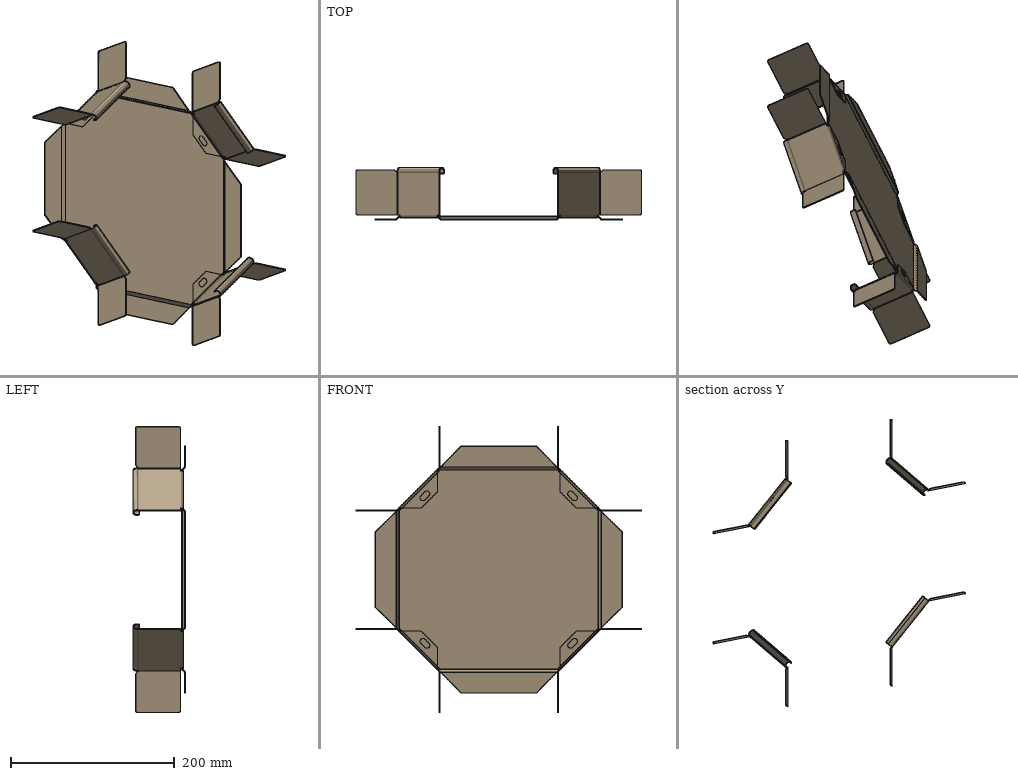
import cadquery as cq
import math


sheet = 1.2
overall = 349.5
height = 64.3

joggle_rise = 3.5
floor_half = 121.5
joggle_run = 3.5
flange_reach = 151.0
flange_root_half = 74.8
flange_end_half = 46.0
corner_cut = 136.5

wall_distance = 139.5
tab_outer = 73.0
tab_bottom = 6.0
tab_top = 61.0
tab_round = 2.5
tab_relief = 3.5
foot_top = joggle_rise
foot_bottom = foot_top - sheet
foot_side = 75.0
foot_inner = 120.2
bend_outer = 2.27
bend_inner = bend_outer - sheet
slot_distance = 127.5
slot_length = 14.0
slot_width = 7.0
curl_outer = 5.0
curl_inner = curl_outer - sheet
curl_start = math.radians(18)
curl_end = math.radians(40)

tab_reach = overall / 2
wall_half = wall_distance - tab_outer * math.sqrt(2)
foot_root_half = wall_distance - foot_side * math.sqrt(2)
foot_inner_half = foot_inner - foot_side * math.sqrt(2)
tab_corner = (wall_distance + wall_half) / math.sqrt(2)
curl_x = wall_distance - curl_outer * math.cos(curl_start)
curl_y = height - curl_outer
wall_top = curl_y - curl_outer * math.sin(curl_start)


def turned(body, degrees):
    """The body turned about the tray's vertical axis."""
    return body.rotate((0, 0, 0), (0, 1, 0), degrees)


def plan_prism(points, bottom, top):
    """Upright prism over a closed outline of (x, z) points."""
    outline = cq.Workplane("XZ", origin=(0, bottom, 0)).polyline(points).close()
    return outline.extrude(bottom - top)


def make_floor():
    """Raised square floor with its four corners cut off."""
    side = 2 * floor_half
    square = cq.Workplane("XY").box(side, sheet, side)
    corner_square = turned(cq.Workplane("XY").box(2 * corner_cut, sheet, 2 * corner_cut), 45)
    return square.intersect(corner_square).translate((0, joggle_rise + sheet / 2, 0))


def make_flange():
    """Joggle and flange on the +X edge of the floor."""
    slope = math.atan2(joggle_rise, joggle_run)
    miter = sheet * math.tan(slope / 2)
    section = [
        (floor_half - sheet, joggle_rise),
        (floor_half, joggle_rise),
        (floor_half + joggle_run, 0),
        (flange_reach, 0),
        (flange_reach, sheet),
        (floor_half + joggle_run + miter, sheet),
        (floor_half + miter, joggle_rise + sheet),
        (floor_half - sheet, joggle_rise + sheet),
    ]
    strip = cq.Workplane("XY").polyline(section).close().extrude(flange_root_half, both=True)
    outline = [
        (floor_half - sheet, -flange_root_half),
        (floor_half, -flange_root_half),
        (flange_reach, -flange_end_half),
        (flange_reach, flange_end_half),
        (floor_half, flange_root_half),
        (floor_half - sheet, flange_root_half),
    ]
    return strip.intersect(plan_prism(outline, 0, height))


def make_base_plate():
    """Floor with a joggled flange on each of its four sides."""
    plate = make_floor()
    flange = make_flange()
    for quarter in range(4):
        plate = plate.union(turned(flange, 90 * quarter))
    return plate


def make_foot():
    """Slotted foot with its bend, up to the lower edge of the wall."""
    wall_inner = wall_distance - sheet
    strip = (
        cq.Workplane("XY")
        .moveTo(foot_inner, foot_bottom)
        .lineTo(wall_distance - bend_outer, foot_bottom)
        .radiusArc((wall_distance, foot_bottom + bend_outer), -bend_outer)
        .lineTo(wall_distance, tab_bottom)
        .lineTo(wall_inner, tab_bottom)
        .lineTo(wall_inner, foot_top + bend_inner)
        .radiusArc((wall_inner - bend_inner, foot_top), bend_inner)
        .lineTo(foot_inner, foot_top)
        .close()
        .extrude(foot_root_half, both=True)
    )
    outline = [
        (foot_inner, -foot_inner_half),
        (wall_distance, -foot_root_half),
        (wall_distance, foot_root_half),
        (foot_inner, foot_inner_half),
    ]
    slot = (
        cq.Workplane("XZ", origin=(slot_distance, foot_bottom, 0))
        .slot2D(slot_length, slot_width, 90)
        .extrude(-sheet)
    )
    return strip.intersect(plan_prism(outline, foot_bottom, tab_bottom)).cut(slot)


def make_wall():
    """Upright wall whose top edge is rolled inwards."""
    cos_start = math.cos(curl_start)
    sin_start = math.sin(curl_start)
    cos_end = math.cos(curl_end)
    sin_end = math.sin(curl_end)
    return (
        cq.Workplane("XY")
        .moveTo(wall_distance, tab_bottom)
        .lineTo(wall_distance, wall_top)
        .threePointArc(
            (curl_x, curl_y + curl_outer),
            (curl_x - curl_outer * cos_end, curl_y - curl_outer * sin_end),
        )
        .lineTo(curl_x - curl_inner * cos_end, curl_y - curl_inner * sin_end)
        .threePointArc(
            (curl_x, curl_y + curl_inner),
            (curl_x + curl_inner * cos_start, curl_y - curl_inner * sin_start),
        )
        .lineTo(wall_distance - sheet, wall_top)
        .lineTo(wall_distance - sheet, tab_bottom)
        .close()
        .extrude(wall_half, both=True)
    )


def make_tab():
    """Tab along +X at one end of the wall, for the bracket of the +X +Z corner."""
    root = tab_corner - sheet
    outline = [
        (root, tab_bottom),
        (tab_reach, tab_bottom),
        (tab_reach, tab_top),
        (tab_corner + tab_relief, tab_top),
        (tab_corner, wall_top),
        (root, wall_top),
    ]
    plate = cq.Workplane("XY", origin=(0, 0, tab_outer - sheet)).polyline(outline).close().extrude(sheet)
    return plate.edges("|Z and >X").fillet(tab_round)


def make_bracket():
    """Bracket whose wall faces +X."""
    tab = turned(make_tab(), 45)
    return make_wall().union(make_foot()).union(tab).union(tab.mirror("XY"))


base_plate = make_base_plate()
bracket = make_bracket()
brackets = [turned(bracket, 45 + 90 * quarter) for quarter in range(4)]

result = cq.Compound.makeCompound([base_plate.val(), *[corner.val() for corner in brackets]])